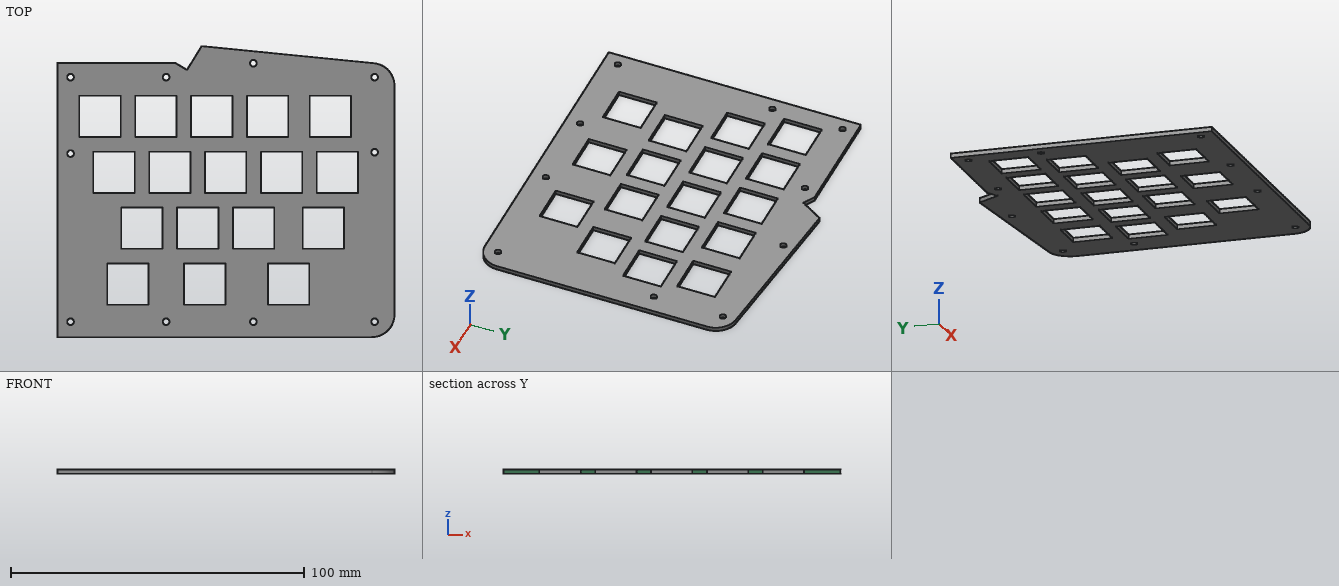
import cadquery as cq

thickness = 1.6
width = 115.03
left_height = 93.6
peak_height = 99.33
corner_radius = 7.8

notch_start_x = 40.2
notch_bottom = (44.2, 91.2)
peak_x = 49.2
back_right_y = 92.8

key_pitch = 19.05
key_opening = 14.0
first_key_x = 14.55
front_row_y = 18.15
key_rows = [
    (0.5, [1.375, 1.5]),
    (0.75, [1, 1, 1.25]),
    (0.25, [1, 1, 1, 1]),
    (0, [1, 1, 1, 1.125]),
]

hole_diameter = 2.2
left_hole_x = 4.5
notch_hole_x = 37.1
peak_hole_x = 66.85
right_hole_x = 108.2
left_middle_hole_y = 62.65
right_middle_hole_y = 63.1
peak_hole_y = 93.45
front_hole_y = 5.3
back_hole_y = 88.7
hole_centers = [
    (left_hole_x, front_hole_y),
    (notch_hole_x, front_hole_y),
    (peak_hole_x, front_hole_y),
    (right_hole_x, front_hole_y),
    (left_hole_x, left_middle_hole_y),
    (right_hole_x, right_middle_hole_y),
    (left_hole_x, back_hole_y),
    (notch_hole_x, back_hole_y),
    (peak_hole_x, peak_hole_y),
    (right_hole_x, back_hole_y),
]


def plate_blank():
    """Flat plate with the notched, sloping back edge and two rounded right corners."""
    outline = [
        (0, 0),
        (width, 0),
        (width, back_right_y),
        (peak_x, peak_height),
        notch_bottom,
        (notch_start_x, left_height),
        (0, left_height),
    ]
    blank = cq.Workplane("XY").polyline(outline).close().extrude(thickness)
    return blank.edges("|Z").edges(">X").fillet(corner_radius)


def key_centers():
    """Centers of all key switch openings, row by row."""
    centers = []
    for row, (first_offset, steps) in enumerate(key_rows):
        x = first_key_x + first_offset * key_pitch
        y = front_row_y + row * key_pitch
        centers.append((x, y))
        for step in steps:
            x += step * key_pitch
            centers.append((x, y))
    return centers


def key_cutters():
    """Square through-cutters for the key switches."""
    return cq.Workplane("XY").pushPoints(key_centers()).rect(key_opening, key_opening).extrude(thickness)


def hole_cutters():
    """Round through-cutters for the mounting holes."""
    return cq.Workplane("XY").pushPoints(hole_centers).circle(hole_diameter / 2).extrude(thickness)


result = plate_blank().cut(key_cutters()).cut(hole_cutters())